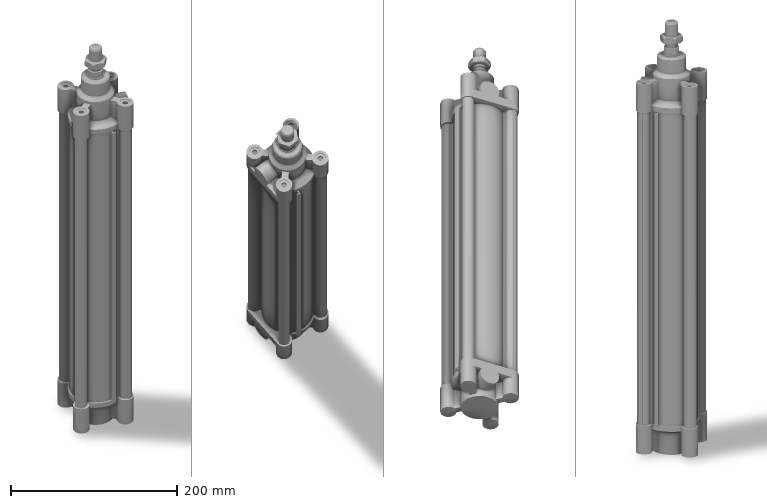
import cadquery as cq
import math

TOTAL_HEIGHT = 545.5
SPIGOT_PROJECTION = 4.0
CAP_HEIGHT = 36.0
BARREL_LENGTH = 399.5
CAP_BASE_THICKNESS = 6.5
BASE_SLOPE_RISE = 5.2

COLUMN_DIAMETER = 19.5
OUTER_WIDTH = 76.0
COLUMN_OFFSET = (OUTER_WIDTH - COLUMN_DIAMETER) / 2
CAP_DIAMETER = 67.0
NECK_DIAMETER = 45.0
WEB_WIDTH = 8.0
SCREW_RECESS_STEPS = [(13.0, 1.0), (6.5, 4.5)]
PORT_BOSS_DIAMETER = 25.0
PORT_BOSS_X = 4.5

SHOULDER_HEIGHT = 4.5
COLLAR_DIAMETER = 35.0
COLLAR_TOP = 503.5
COLLAR_CHAMFER = 1.5

BARREL_DIAMETER = 63.0
LOBE_DIAMETER = 13.5
LOBE_RIB_WIDTH = 8.5
LOBE_EDGE_DIAMETER = 16.5
LIP_REACH = 37.0
LIP_LEAN = 1.5
LIP_BOTTOM_Y = 9.0
LIP_TOP_Y = 13.5
LIP_THICKNESS = 1.0
LIP_ROOT_DEPTH = 3.0
LEDGE_START = (29.0, 17.5)
LEDGE_END = (26.5, 22.0)
LEDGE_ROOT_X = 24.5

ROD_DIAMETER = 20.0
ROD_END = 505.0
FLATTED_DIAMETER = 18.5
FLATTED_END = 513.0
ACROSS_FLATS = 17.0
UNDERCUT_DIAMETER = 13.5
UNDERCUT_END = 516.0
THREAD_DIAMETER = 16.0
TIP_DIAMETER = 13.0
TIP_CHAMFER_LENGTH = 2.0

NUT_BOTTOM = 519.5
NUT_THICKNESS = 8.0
NUT_ACROSS_FLATS = 24.0
NUT_ACROSS_CORNERS = NUT_ACROSS_FLATS / math.cos(math.pi / 6)
NUT_CHAMFER = 1.35

REAR_JOINT = SPIGOT_PROJECTION + CAP_HEIGHT
FRONT_JOINT = REAR_JOINT + BARREL_LENGTH


def cylinder(diameter, bottom, top):
    return cq.Workplane("XY").workplane(offset=bottom).circle(diameter / 2).extrude(top - bottom)


def corner_points():
    return [(x, y) for x in (-COLUMN_OFFSET, COLUMN_OFFSET) for y in (-COLUMN_OFFSET, COLUMN_OFFSET)]


def diagonal_webs(width, height):
    """Crossed webs on Z = 0 that run between opposite corner points."""
    length = 2 * math.hypot(COLUMN_OFFSET, COLUMN_OFFSET)
    web = cq.Workplane("XY").rect(length, width).extrude(height)
    return web.rotate((0, 0, 0), (0, 0, 1), 45).union(web.rotate((0, 0, 0), (0, 0, 1), -45))


def cap_blank():
    """Cap standing on Z = 0 with its joint face down and its neck up, without the collar."""
    neck_top = CAP_HEIGHT + SPIGOT_PROJECTION
    base = (
        cq.Workplane("XZ")
        .polyline([
            (0, 0),
            (CAP_DIAMETER / 2, 0),
            (CAP_DIAMETER / 2, CAP_BASE_THICKNESS),
            (NECK_DIAMETER / 2, CAP_BASE_THICKNESS + BASE_SLOPE_RISE),
            (NECK_DIAMETER / 2, neck_top),
            (0, neck_top),
        ])
        .close()
        .revolve(360, (0, 0, 0), (0, 1, 0))
    )
    columns = cq.Workplane("XY").pushPoints(corner_points()).circle(COLUMN_DIAMETER / 2).extrude(CAP_HEIGHT)
    cap = base.union(columns)
    return cap.union(diagonal_webs(WEB_WIDTH, CAP_HEIGHT)).union(port_side())


def port_side():
    """Flat wall on the +Y side, between two columns, with the round port boss in it."""
    wall = (
        cq.Workplane("XY")
        .polyline([
            (0, 0),
            (COLUMN_OFFSET, COLUMN_OFFSET),
            (COLUMN_OFFSET, OUTER_WIDTH / 2),
            (-COLUMN_OFFSET, OUTER_WIDTH / 2),
            (-COLUMN_OFFSET, COLUMN_OFFSET),
        ])
        .close()
        .extrude(CAP_BASE_THICKNESS + BASE_SLOPE_RISE)
    )
    boss = (
        cq.Workplane("XZ")
        .center(PORT_BOSS_X, CAP_HEIGHT / 2)
        .circle(PORT_BOSS_DIAMETER / 2)
        .extrude(-OUTER_WIDTH / 2)
    )
    return wall.union(boss)


def make_rear_cap():
    return cap_blank().mirror("XY").translate((0, 0, REAR_JOINT))


def make_front_cap():
    cap = cap_blank().translate((0, 0, FRONT_JOINT))
    column_top = FRONT_JOINT + CAP_HEIGHT
    shoulder_bottom = column_top + SPIGOT_PROJECTION
    shoulder = (
        cq.Workplane("XY")
        .workplane(offset=shoulder_bottom)
        .circle(NECK_DIAMETER / 2)
        .workplane(offset=SHOULDER_HEIGHT)
        .circle(COLLAR_DIAMETER / 2)
        .loft()
    )
    collar = cylinder(COLLAR_DIAMETER, FRONT_JOINT, COLLAR_TOP).faces(">Z").chamfer(COLLAR_CHAMFER)
    cap = cap.union(shoulder).union(collar)
    recesses = cq.Workplane("XY").workplane(offset=column_top).pushPoints(corner_points())
    for diameter, depth in SCREW_RECESS_STEPS:
        cap = cap.cut(recesses.circle(diameter / 2).extrude(-depth))
    return cap.cut(cylinder(ROD_DIAMETER, FRONT_JOINT, COLLAR_TOP))


def make_barrel():
    barrel = cylinder(BARREL_DIAMETER, REAR_JOINT, FRONT_JOINT)
    section = cq.Workplane("XY").workplane(offset=REAR_JOINT)
    barrel = barrel.union(section.pushPoints(corner_points()).circle(LOBE_DIAMETER / 2).extrude(BARREL_LENGTH))
    barrel = barrel.union(diagonal_webs(LOBE_RIB_WIDTH, BARREL_LENGTH).translate((0, 0, REAR_JOINT)))
    for quarter_turn in range(4):
        barrel = barrel.union(lobe_edge().rotate((0, 0, 0), (0, 0, 1), 90 * quarter_turn))
    for profile in (sensor_lip(), sensor_ledge()):
        barrel = barrel.union(profile).union(profile.mirror("YZ"))
    return barrel


def lobe_edge():
    """Quarter cylinder that thickens the outer side of the lobe in the +X +Y corner."""
    radius = LOBE_EDGE_DIAMETER / 2
    middle = radius * math.sqrt(0.5)
    return (
        cq.Workplane("XY", origin=(COLUMN_OFFSET, COLUMN_OFFSET, REAR_JOINT))
        .lineTo(radius, 0)
        .threePointArc((middle, middle), (0, radius))
        .close()
        .extrude(BARREL_LENGTH)
    )


def sensor_lip():
    """Hooked lip along the +X side of the barrel, open toward +Y."""
    root_x = BARREL_DIAMETER / 2 - LIP_ROOT_DEPTH
    return (
        cq.Workplane("XY", origin=(0, 0, REAR_JOINT))
        .polyline([
            (root_x, LIP_BOTTOM_Y),
            (LIP_REACH, LIP_BOTTOM_Y),
            (LIP_REACH - LIP_LEAN, LIP_TOP_Y),
            (LIP_REACH - LIP_LEAN - LIP_THICKNESS, LIP_TOP_Y),
            (LIP_REACH - LIP_LEAN, LIP_BOTTOM_Y + LIP_THICKNESS),
            (root_x, LIP_BOTTOM_Y + LIP_THICKNESS),
        ])
        .close()
        .extrude(BARREL_LENGTH)
    )


def sensor_ledge():
    """Low ledge on the +X side of the barrel, between the sensor lip and the lobe."""
    return (
        cq.Workplane("XY", origin=(0, 0, REAR_JOINT))
        .polyline([
            (LEDGE_ROOT_X, LEDGE_START[1]),
            LEDGE_START,
            LEDGE_END,
            (LEDGE_ROOT_X, LEDGE_END[1]),
        ])
        .close()
        .extrude(BARREL_LENGTH)
    )


def make_rod():
    rod = cylinder(ROD_DIAMETER, FRONT_JOINT, ROD_END)
    flats = cylinder(FLATTED_DIAMETER, ROD_END, FLATTED_END).intersect(
        cq.Workplane("XY")
        .workplane(offset=ROD_END)
        .rect(ACROSS_FLATS, FLATTED_DIAMETER)
        .extrude(FLATTED_END - ROD_END)
    )
    undercut = cylinder(UNDERCUT_DIAMETER, FLATTED_END, UNDERCUT_END)
    tip_chamfer_width = (THREAD_DIAMETER - TIP_DIAMETER) / 2
    thread = (
        cylinder(THREAD_DIAMETER, UNDERCUT_END, TOTAL_HEIGHT)
        .faces(">Z")
        .chamfer(TIP_CHAMFER_LENGTH, tip_chamfer_width)
    )
    return rod.union(flats).union(undercut).union(thread)


def make_nut():
    nut = (
        cq.Workplane("XY")
        .workplane(offset=NUT_BOTTOM)
        .polygon(6, NUT_ACROSS_CORNERS)
        .extrude(NUT_THICKNESS)
        .rotate((0, 0, 0), (0, 0, 1), 30)
    )
    nut_top = NUT_BOTTOM + NUT_THICKNESS
    envelope = (
        cylinder(NUT_ACROSS_CORNERS, NUT_BOTTOM, nut_top)
        .faces("<Z or >Z")
        .chamfer(NUT_CHAMFER)
    )
    return nut.intersect(envelope).cut(cylinder(THREAD_DIAMETER, NUT_BOTTOM, nut_top))


rear_cap = make_rear_cap()
barrel = make_barrel()
front_cap = make_front_cap()
rod = make_rod()
nut = make_nut()

result = cq.Compound.makeCompound([
    rear_cap.val(),
    barrel.val(),
    front_cap.val(),
    rod.val(),
    nut.val(),
])